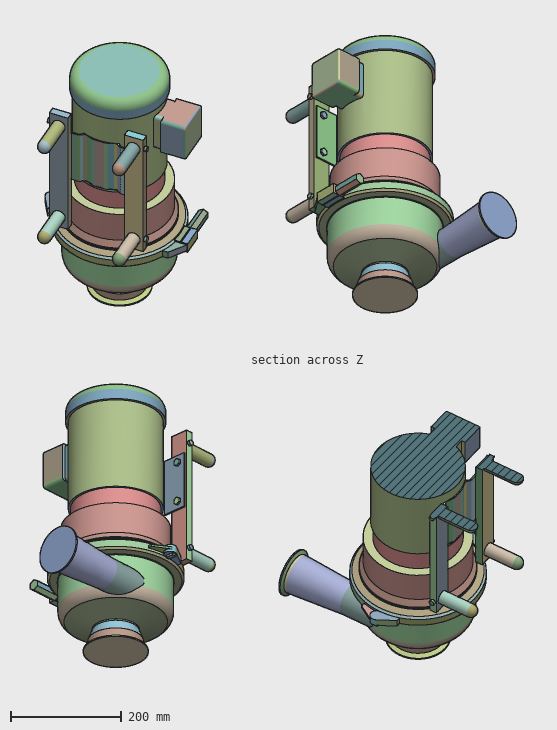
import cadquery as cq
import math

TOTAL_HEIGHT = 511.5
CAP_BOTTOM = 474.0
MOTOR_BOTTOM = 295.5
LANTERN_TOP = 254.0
LANTERN_BOTTOM = 193.0
SEAT_TOP = 180.0
SEAT_BOTTOM = 174.5
SEAT_GROOVE_MID = (SEAT_TOP + SEAT_BOTTOM) / 2
CLAMP_MID = 158.0
BOWL_CORNER = 85.0
BOWL_CONE_TOP = 62.0
BOWL_BOTTOM = 45.0

CAP_RADIUS = 182.5 / 2
CAP_ROUNDING = 18.0
MOTOR_RADIUS = 173.0 / 2
NECK_RADIUS = 164.5 / 2
LANTERN_RADIUS = 200.0 / 2
SEAT_RADIUS = 215.0 / 2
SEAT_GROOVE_RADIUS = 106.5
SEAT_GROOVE_WIDTH = 3.0
CLAMP_RADIUS = 124.5
BOWL_RADIUS = 210.5 / 2
BOWL_RIM_RADIUS = 106.5
BOWL_CONE_RADIUS = 94.0
INLET_NECK_RADIUS = 43.5

BOWL_ARC_POINT = (102.5, 71.0)

CLAMP_BAND = 14.5
CLAMP_SHOULDER_RADIUS = 120.0
CLAMP_SHOULDER_HEIGHT = 11.0
CLAMP_LOWER_EDGE = 145.5
BOWL_RIM_BOTTOM = 143.5

INLET_TUBE_RADIUS = 102.0 / 2
INLET_FLANGE_RADIUS = 118.5 / 2
INLET_FLARE_END = 22.0
INLET_FLARE_TOP = 42.0
INLET_FLANGE_SLOPE_TOP = 7.0
INLET_FLANGE_THICKNESS = 2.5

OUTLET_X = -70.0
OUTLET_Z = 96.0
OUTLET_END = 227.0
OUTLET_PIPE_RADIUS = 61.5 / 2
OUTLET_TUBE_RADIUS = 76.0 / 2
OUTLET_FLANGE_RADIUS = 91.0 / 2
OUTLET_CONE_START = 103.0
OUTLET_TUBE_START = 215.5
OUTLET_SLOPE_START = 221.0
OUTLET_FLANGE_THICKNESS = 3.0

BAR_BACK = -88.5
BAR_THICKNESS = 14.5
BAR_INNER = 56.5
BAR_OUTER = 93.5
BAR_TOP = 459.0
PEG_X = 74.5
PEG_HEIGHTS = (218.0, 434.0)
PEG_RADIUS = 25.5 / 2
PEG_END = -178.5
SCREW_RADIUS = 10.0 / 2
SCREW_END = 98.5

FOOT_BOTTOM = 302.0
FOOT_TOP = 412.5
FOOT_HALF_WIDTH = 89.5
FOOT_FRONT = BAR_BACK
FOOT_THICKNESS = 3.0
FOOT_CREST = 13.0
FOOT_DIP_X = 31.0
FOOT_DIP_Y = -81.5
FOOT_WING_START = 41.0
FOOT_ROOT = -74.0
FOOT_CREST_ROUNDING = 18.0
FOOT_BEND_ROUNDING = 7.5
NUT_WIDTH = 13.0
NUT_LENGTH = 4.0
NUT_OFFSET = 40.0

BOX_START = 98.0
BOX_END = 148.0
BOX_HALF_WIDTH = 37.5
BOX_NECK_HALF_WIDTH = 29.5
BOX_BOTTOM = 378.5
BOX_TOP = 454.0
BOX_ROUNDING = 6.0
BOX_FACE_ROUNDING = 3.0

HINGE_X = -136.0
HINGE_EYE_RADIUS = 12.0
HINGE_TAPER = math.radians(30)
HINGE_SHOULDER = -126.5
HINGE_REACH = 39.0
TONGUE_THICKNESS = 4.5
HINGE_KEY_X = (-143.5, -127.5)
HINGE_KEY_Y = (-6.5, 2.0)
HINGE_KEY_HEIGHT = 4.0

LATCH_ROOT = 102.5
LATCH_FRONT = -56.5
LATCH_SHOULDER = 121.5
LATCH_WEDGE_END = 145.0
LATCH_BLOCK_FRONT = -23.5
LATCH_BLOCK_BACK = 20.5
LATCH_BLOCK_END = 146.5
LATCH_BLOCK_HEIGHT = 20.0
KNOB_X = 132.5
KNOB_END = 76.0
KNOB_WIDTH = 18.5

CLAMP_ROOT = 112.5


def block(x_range, y_range, z_range):
    """Box between two corners."""
    size = [abs(high - low) for low, high in (x_range, y_range, z_range)]
    corner = [min(limits) for limits in (x_range, y_range, z_range)]
    return cq.Workplane("XY").box(*size, centered=False).translate(tuple(corner))


def rod_along_y(x, z, radius, y_start, y_end):
    base = cq.Workplane("XZ", origin=(x, y_start, z))
    return base.circle(radius).extrude(y_start - y_end)


def hexagon_along_y(x, z, width, y_start, y_end):
    """Hexagonal prism with corners up and down; width is across the flats."""
    base = cq.Workplane("XZ", origin=(x, y_start, z)).transformed(rotate=(0, 0, 90))
    return base.polygon(6, width / math.cos(math.pi / 6)).extrude(y_start - y_end)


def turned_body():
    """Motor, lantern, clamp ring, bowl and inlet, revolved about Z."""
    band_half = CLAMP_BAND / 2
    groove_half = SEAT_GROOVE_WIDTH / 2
    profile = (
        cq.Workplane("XZ")
        .lineTo(INLET_FLANGE_RADIUS, 0)
        .lineTo(INLET_FLANGE_RADIUS, INLET_FLANGE_THICKNESS)
        .lineTo(INLET_TUBE_RADIUS, INLET_FLANGE_SLOPE_TOP)
        .lineTo(INLET_TUBE_RADIUS, INLET_FLARE_END)
        .lineTo(INLET_NECK_RADIUS, INLET_FLARE_TOP)
        .lineTo(INLET_NECK_RADIUS, BOWL_BOTTOM)
        .lineTo(BOWL_CONE_RADIUS, BOWL_CONE_TOP)
        .threePointArc(BOWL_ARC_POINT, (BOWL_RADIUS, BOWL_CORNER))
        .lineTo(BOWL_RADIUS, BOWL_RIM_BOTTOM)
        .lineTo(BOWL_RIM_RADIUS, BOWL_RIM_BOTTOM)
        .lineTo(BOWL_RIM_RADIUS, CLAMP_LOWER_EDGE)
        .lineTo(CLAMP_SHOULDER_RADIUS, CLAMP_MID - CLAMP_SHOULDER_HEIGHT)
        .lineTo(CLAMP_RADIUS, CLAMP_MID - band_half)
        .lineTo(CLAMP_RADIUS, CLAMP_MID + band_half)
        .lineTo(CLAMP_SHOULDER_RADIUS, CLAMP_MID + CLAMP_SHOULDER_HEIGHT)
        .lineTo(SEAT_RADIUS, SEAT_BOTTOM)
        .lineTo(SEAT_RADIUS, SEAT_GROOVE_MID - groove_half)
        .lineTo(SEAT_GROOVE_RADIUS, SEAT_GROOVE_MID - groove_half)
        .lineTo(SEAT_GROOVE_RADIUS, SEAT_GROOVE_MID + groove_half)
        .lineTo(SEAT_RADIUS, SEAT_GROOVE_MID + groove_half)
        .lineTo(SEAT_RADIUS, SEAT_TOP)
        .lineTo(LANTERN_RADIUS, LANTERN_BOTTOM)
        .lineTo(LANTERN_RADIUS, LANTERN_TOP)
        .lineTo(NECK_RADIUS, LANTERN_TOP)
        .lineTo(NECK_RADIUS, MOTOR_BOTTOM)
        .lineTo(MOTOR_RADIUS, MOTOR_BOTTOM)
        .lineTo(MOTOR_RADIUS, CAP_BOTTOM)
        .lineTo(CAP_RADIUS, CAP_BOTTOM)
        .lineTo(CAP_RADIUS, TOTAL_HEIGHT)
        .lineTo(0, TOTAL_HEIGHT)
        .close()
    )
    body = profile.revolve(360, (0, 0, 0), (0, 1, 0))
    return body.faces(">Z").edges().fillet(CAP_ROUNDING)


def outlet_pipe():
    """Straight pipe, cone, tube and flange, revolved about the outlet axis."""
    profile = (
        cq.Workplane("XY")
        .lineTo(OUTLET_PIPE_RADIUS, 0)
        .lineTo(OUTLET_PIPE_RADIUS, OUTLET_CONE_START)
        .lineTo(OUTLET_TUBE_RADIUS, OUTLET_TUBE_START)
        .lineTo(OUTLET_TUBE_RADIUS, OUTLET_SLOPE_START)
        .lineTo(OUTLET_FLANGE_RADIUS, OUTLET_END - OUTLET_FLANGE_THICKNESS)
        .lineTo(OUTLET_FLANGE_RADIUS, OUTLET_END)
        .lineTo(0, OUTLET_END)
        .close()
    )
    pipe = profile.revolve(360, (0, 0, 0), (0, 1, 0))
    return pipe.translate((OUTLET_X, 0, OUTLET_Z))


def mounting_bar(side):
    """Bar with two round-ended pegs and two side screws; side is -1 or 1."""
    bar_front = BAR_BACK - BAR_THICKNESS
    bar = block((side * BAR_INNER, side * BAR_OUTER), (BAR_BACK, bar_front), (LANTERN_BOTTOM, BAR_TOP))
    for height in PEG_HEIGHTS:
        peg = rod_along_y(side * PEG_X, height, PEG_RADIUS, BAR_BACK, PEG_END + PEG_RADIUS)
        tip = cq.Workplane("XY").sphere(PEG_RADIUS)
        tip = tip.translate((side * PEG_X, PEG_END + PEG_RADIUS, height))
        screw_origin = (side * PEG_X, BAR_BACK - BAR_THICKNESS / 2, height)
        screw = cq.Workplane("YZ", origin=screw_origin).circle(SCREW_RADIUS)
        screw = screw.extrude(side * (SCREW_END - PEG_X))
        bar = bar.union(peg).union(tip).union(screw)
    return bar


def motor_foot():
    """Bent plate that follows the motor front, with flat wings behind the bars."""
    wing_back = FOOT_FRONT + FOOT_THICKNESS
    height = FOOT_TOP - FOOT_BOTTOM
    middle = (FOOT_BOTTOM + FOOT_TOP) / 2
    right_half = [
        (FOOT_CREST, FOOT_FRONT),
        (FOOT_DIP_X, FOOT_DIP_Y),
        (FOOT_WING_START, FOOT_FRONT),
        (FOOT_HALF_WIDTH, FOOT_FRONT),
        (FOOT_HALF_WIDTH, wing_back),
        (FOOT_WING_START, wing_back),
        (FOOT_DIP_X, FOOT_ROOT),
    ]
    left_half = [(-x, y) for x, y in reversed(right_half)]
    foot = cq.Workplane("XY", origin=(0, 0, FOOT_BOTTOM))
    foot = foot.polyline(right_half + left_half).close().extrude(height)
    for x, y in right_half[:3] + left_half[-3:]:
        rounding = FOOT_CREST_ROUNDING if abs(x) == FOOT_CREST else FOOT_BEND_ROUNDING
        bend = cq.selectors.NearestToPointSelector((x, y, middle))
        foot = foot.edges("|Z").edges(bend).fillet(rounding)
    for x in (-PEG_X, PEG_X):
        for z in (middle - NUT_OFFSET, middle + NUT_OFFSET):
            nut = hexagon_along_y(x, z, NUT_WIDTH, FOOT_FRONT, wing_back + NUT_LENGTH)
            foot = foot.union(nut)
    return foot


def terminal_box():
    height = (BOX_BOTTOM, BOX_TOP)
    box = block((BOX_START, BOX_END), (-BOX_HALF_WIDTH, BOX_HALF_WIDTH), height)
    box = box.edges("|X").fillet(BOX_ROUNDING)
    box = box.faces(">X").edges().fillet(BOX_FACE_ROUNDING)
    neck = block((0, BOX_START), (-BOX_NECK_HALF_WIDTH, BOX_NECK_HALF_WIDTH), height)
    return box.union(neck.edges("|X").fillet(BOX_ROUNDING))


def hinge_arm(side, thickness):
    """Tapering arm from the ring to the hinge eye, lying on one side of Y = 0."""
    tangent_x = HINGE_X - HINGE_EYE_RADIUS * math.cos(HINGE_TAPER)
    tangent_y = HINGE_EYE_RADIUS * math.sin(HINGE_TAPER)
    outline = [
        (-CLAMP_ROOT, 0),
        (-CLAMP_ROOT, side * HINGE_REACH),
        (HINGE_SHOULDER, side * HINGE_REACH),
        (tangent_x, side * tangent_y),
        (HINGE_X, 0),
    ]
    arm = cq.Workplane("XY", origin=(0, 0, CLAMP_MID - thickness / 2))
    return arm.polyline(outline).close().extrude(thickness)


def clamp_hinge():
    """Full-height arm and thin tongue that meet in a round eye, with a key below."""
    bottom = CLAMP_MID - CLAMP_BAND / 2
    eye = cq.Workplane("XY", origin=(HINGE_X, 0, bottom)).circle(HINGE_EYE_RADIUS).extrude(CLAMP_BAND)
    key = block(HINGE_KEY_X, HINGE_KEY_Y, (bottom - HINGE_KEY_HEIGHT, bottom))
    return eye.union(hinge_arm(-1, CLAMP_BAND)).union(hinge_arm(1, TONGUE_THICKNESS)).union(key)


def clamp_latch():
    """Wedge-shaped lug, a taller block and a hexagonal knob on the +X side of the ring."""
    outline = [
        (LATCH_ROOT, LATCH_FRONT),
        (LATCH_SHOULDER, LATCH_FRONT),
        (LATCH_WEDGE_END, LATCH_BLOCK_FRONT),
        (LATCH_ROOT, LATCH_BLOCK_FRONT),
    ]
    wedge = cq.Workplane("XY", origin=(0, 0, CLAMP_MID - CLAMP_BAND / 2))
    wedge = wedge.polyline(outline).close().extrude(CLAMP_BAND)
    block_z = (CLAMP_MID - LATCH_BLOCK_HEIGHT / 2, CLAMP_MID + LATCH_BLOCK_HEIGHT / 2)
    latch_block = block((CLAMP_ROOT, LATCH_BLOCK_END), (LATCH_BLOCK_FRONT, LATCH_BLOCK_BACK), block_z)
    knob = hexagon_along_y(KNOB_X, CLAMP_MID, KNOB_WIDTH, LATCH_BLOCK_FRONT, KNOB_END)
    return wedge.union(latch_block).union(knob)


result = turned_body()
for part in (outlet_pipe(), motor_foot(), mounting_bar(-1), mounting_bar(1)):
    result = result.union(part)
for part in (terminal_box(), clamp_hinge(), clamp_latch()):
    result = result.union(part)